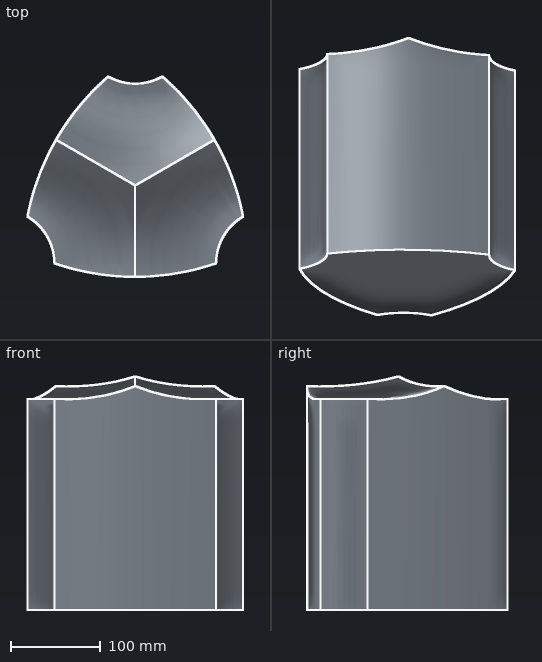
import cadquery as cq
import math

AXIS_SPACING = 300.0
SIDE_RADIUS = 275.0
SCALLOP_RADIUS = 60.0
RIM_HEIGHT = 235.0
PEAK_HEIGHT = 260.0
DISH_RADIUS = 200.0

AXIS_DISTANCE = AXIS_SPACING / math.sqrt(3)
CORNER_ANGLES = (90, 210, 330)
HALF_SECTOR = 180 / len(CORNER_ANGLES)

CHORD_RUN = AXIS_DISTANCE - SCALLOP_RADIUS
CHORD_RISE = PEAK_HEIGHT - RIM_HEIGHT
CHORD = math.hypot(CHORD_RUN, CHORD_RISE)
CHORD_OFFSET = math.sqrt(DISH_RADIUS**2 - (CHORD / 2) ** 2)
DISH_CENTRE_RUN = SCALLOP_RADIUS + CHORD_RUN / 2 - CHORD_OFFSET * CHORD_RISE / CHORD
DISH_CENTRE_HEIGHT = RIM_HEIGHT + CHORD_RISE / 2 + CHORD_OFFSET * CHORD_RUN / CHORD

CUTTER_CLEARANCE = 20.0
CUTTER_TOP = PEAK_HEIGHT + CUTTER_CLEARANCE
SECTOR_REACH = 2 * AXIS_DISTANCE


def polar_point(distance, angle):
    """Point in the XY plane at a distance and angle (degrees) from the column centre."""
    direction = math.radians(angle)
    return (distance * math.cos(direction), distance * math.sin(direction))


def cylinder_at(point, radius):
    """Upright cylinder as tall as the column."""
    return cq.Workplane("XY").center(*point).circle(radius).extrude(PEAK_HEIGHT)


def make_column():
    """Prism bounded by three convex side walls and three concave corner scallops."""
    axes = [polar_point(AXIS_DISTANCE, angle) for angle in CORNER_ANGLES]
    column = cylinder_at(axes[0], SIDE_RADIUS)
    for axis in axes[1:]:
        column = column.intersect(cylinder_at(axis, SIDE_RADIUS))
    for axis in axes:
        column = column.cut(cylinder_at(axis, SCALLOP_RADIUS))
    return column


def make_dish_cutter(angle):
    """Space above one dish, limited to the sector facing its corner."""
    half_width = math.sqrt(DISH_RADIUS**2 - (DISH_CENTRE_HEIGHT - CUTTER_TOP) ** 2)
    drop_at_axis = math.sqrt(DISH_RADIUS**2 - DISH_CENTRE_RUN**2)
    ring = (
        cq.Workplane("XZ")
        .moveTo(0, DISH_CENTRE_HEIGHT - drop_at_axis)
        .threePointArc(
            (DISH_CENTRE_RUN, DISH_CENTRE_HEIGHT - DISH_RADIUS),
            (DISH_CENTRE_RUN + half_width, CUTTER_TOP),
        )
        .lineTo(0, CUTTER_TOP)
        .close()
        .revolve(360, (0, 0, 0), (0, 1, 0))
        .translate((*polar_point(AXIS_DISTANCE, angle), 0))
    )
    sector = (
        cq.Workplane("XY")
        .polyline([
            (0, 0),
            polar_point(SECTOR_REACH, angle - HALF_SECTOR),
            polar_point(SECTOR_REACH, angle),
            polar_point(SECTOR_REACH, angle + HALF_SECTOR),
        ])
        .close()
        .extrude(CUTTER_TOP)
    )
    return ring.intersect(sector)


result = make_column()
for corner_angle in CORNER_ANGLES:
    result = result.cut(make_dish_cutter(corner_angle))